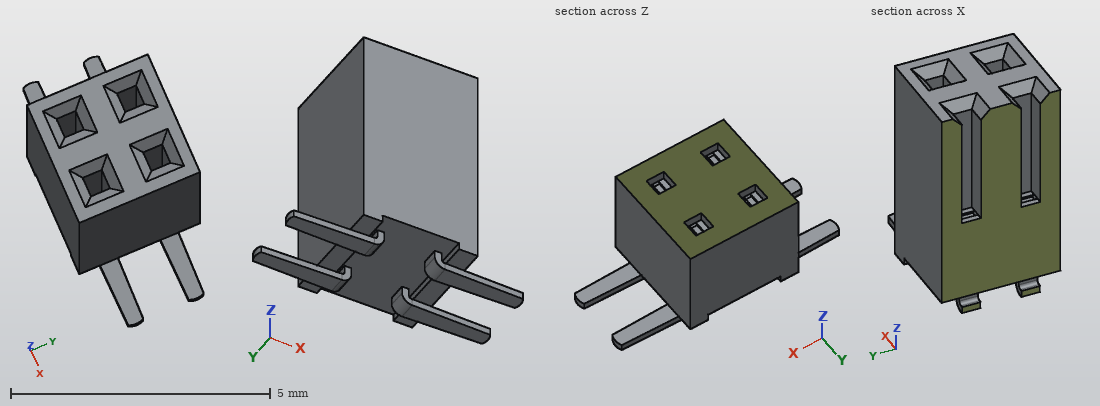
import cadquery as cq

pitch = 1.27
contacts_per_side = 2
overall_span = 5.18
body_height = 4.4
standoff = 0.22
body_side = contacts_per_side * pitch

channel_width = 1.70
channel_depth = 0.15

mouth_side = 0.80
socket_side = 0.40
mouth_depth = (mouth_side - socket_side) / 2
socket_depth = 2.5

slot_floor_length = 0.32
slot_depth = (socket_side - slot_floor_length) / 2

strip_thickness = 0.15
strip_width = 0.40
tip_width = 0.32
tip_bulge = 0.04
stem_inner_x = 0.563
bend_inner_radius = 0.07

body_top = standoff + body_height
channel_roof = standoff + channel_depth
tip_x = overall_span / 2
stem_outer_x = stem_inner_x + strip_thickness
stem_middle_x = stem_inner_x + strip_thickness / 2
bend_outer_radius = bend_inner_radius + strip_thickness
bend_end_x = stem_inner_x + bend_outer_radius
mouth_floor = body_top - mouth_depth
socket_floor = body_top - socket_depth
positions = [(side, row_y) for side in (-1, 1) for row_y in (-pitch / 2, pitch / 2)]


def make_body():
    """Square housing with a channel along Y through its underside."""
    block = (
        cq.Workplane("XY")
        .workplane(offset=standoff)
        .rect(body_side, body_side)
        .extrude(body_height)
    )
    channel = (
        cq.Workplane("XY")
        .workplane(offset=standoff)
        .rect(channel_width, body_side)
        .extrude(channel_depth)
    )
    return block.cut(channel)


def make_socket(side, row_y):
    """Square socket with a lead-in and a tapered slot in its floor."""
    socket_x = side * pitch / 2
    mouth = (
        cq.Workplane("XY")
        .workplane(offset=body_top)
        .center(socket_x, row_y)
        .rect(mouth_side, mouth_side)
        .workplane(offset=-mouth_depth)
        .rect(socket_side, socket_side)
        .loft(ruled=True)
    )
    shaft = (
        cq.Workplane("XY")
        .workplane(offset=socket_floor)
        .center(socket_x, row_y)
        .rect(socket_side, socket_side)
        .extrude(mouth_floor - socket_floor)
    )
    slot = (
        cq.Workplane("XY")
        .workplane(offset=socket_floor)
        .center(side * stem_middle_x, row_y)
        .rect(strip_thickness, socket_side)
        .workplane(offset=-slot_depth)
        .rect(strip_thickness, slot_floor_length)
        .loft(ruled=True)
    )
    return mouth.union(shaft).union(slot)


def make_terminal(side, row_y):
    """Stem, bend and solder foot, with the foot narrowing to a rounded tip."""
    profile = (
        cq.Workplane("XZ")
        .moveTo(stem_inner_x, channel_roof)
        .lineTo(stem_inner_x, bend_outer_radius)
        .radiusArc((bend_end_x, 0), -bend_outer_radius)
        .lineTo(tip_x, 0)
        .lineTo(tip_x, strip_thickness)
        .lineTo(bend_end_x, strip_thickness)
        .radiusArc((stem_outer_x, bend_outer_radius), bend_inner_radius)
        .lineTo(stem_outer_x, channel_roof)
        .close()
        .extrude(strip_width / 2, both=True)
    )
    outline = (
        cq.Workplane("XY")
        .moveTo(stem_inner_x, -strip_width / 2)
        .lineTo(bend_end_x, -strip_width / 2)
        .lineTo(tip_x - tip_bulge, -tip_width / 2)
        .threePointArc((tip_x, 0), (tip_x - tip_bulge, tip_width / 2))
        .lineTo(bend_end_x, strip_width / 2)
        .lineTo(stem_inner_x, strip_width / 2)
        .close()
        .extrude(channel_roof)
    )
    terminal = profile.intersect(outline)
    if side < 0:
        terminal = terminal.mirror("YZ")
    return terminal.translate((0, row_y, 0))


result = make_body()
for side, row_y in positions:
    result = result.cut(make_socket(side, row_y))
    result = result.union(make_terminal(side, row_y))